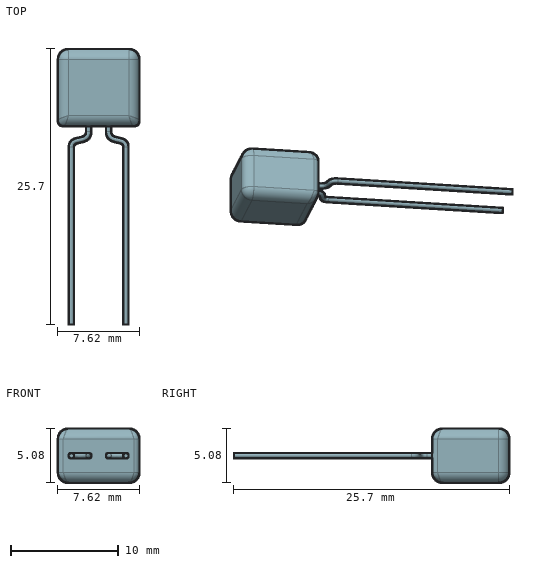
import cadquery as cq

TOTAL_LENGTH = 25.65
HOUSING_WIDTH = 7.62
HOUSING_DEPTH = 7.2
HOUSING_HEIGHT = 5.08
MAIN_RADIUS = 1.0
FRONT_CORNER_RADIUS = 0.5

WIRE_DIAMETER = 0.5
ROOT_OFFSET = 0.92
TAIL_OFFSET = 2.55
ROOT_LENGTH = 0.45
BEND_LENGTH = 1.45
ROOT_HANDLE = 1.2
TAIL_HANDLE = 1.0
LEAD_LENGTH = TOTAL_LENGTH - HOUSING_DEPTH


def make_housing():
    block = cq.Workplane("XY").box(HOUSING_WIDTH, HOUSING_DEPTH, HOUSING_HEIGHT)
    block = block.translate((0, HOUSING_DEPTH / 2, 0))
    block = block.edges("|Z and <Y").fillet(FRONT_CORNER_RADIUS)
    block = block.edges("|Z and >Y").fillet(MAIN_RADIUS)
    return block.faces("<Z or >Z").edges().fillet(MAIN_RADIUS).solids()


def make_lead(side):
    """Wire on one side of the middle plane; side is -1 or +1."""
    root_x = side * ROOT_OFFSET
    tail_x = side * TAIL_OFFSET
    bend_end = ROOT_LENGTH + BEND_LENGTH

    path = (
        cq.Workplane("XY")
        .moveTo(root_x, 0)
        .lineTo(root_x, -ROOT_LENGTH)
        .bezier(
            [
                (root_x, -ROOT_LENGTH - ROOT_HANDLE),
                (tail_x, -bend_end + TAIL_HANDLE),
                (tail_x, -bend_end),
            ],
            includeCurrent=True,
        )
        .lineTo(tail_x, -LEAD_LENGTH)
    )
    section = cq.Workplane("XZ").center(root_x, 0).circle(WIRE_DIAMETER / 2)
    return section.sweep(path)


housing = make_housing()
leads = [make_lead(side) for side in (-1, 1)]

result = cq.Compound.makeCompound([housing.val(), *[lead.val() for lead in leads]])